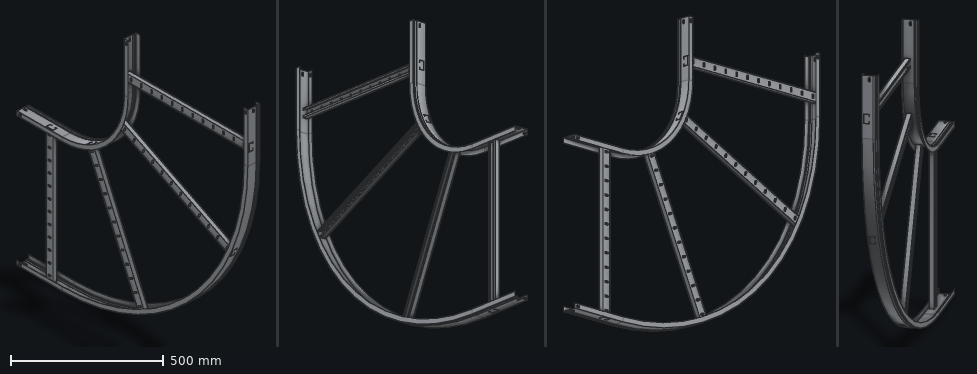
import cadquery as cq

ORIGIN = (0, 0, 0)
Y_AXIS = (0, 1, 0)

overall_size = 1117.0
arm_length = 219.0
bend_x = arm_length
bend_z = overall_size - arm_length
sheet = 1.5

rail_depth = 55.0
inner_web_radius = 299.0
outer_web_radius = bend_z
flange_width = 19.0
fold_radius = 2.0
groove_centre = 10.0
groove_width = 12.0
groove_floor = 2.0
groove_depth = 3.0

rail_slot_length = 13.0
rail_slot_width = 7.0
rail_slot_from_end = 15.0
web_slot_y = 26.0
flange_slot_depth = 10.0

rung_width = 34.0
rung_front = 7.0
rung_depth = 19.0
rung_lip = 8.0
rung_from_end = 151.0
rung_slant = 25.0
rung_inner_radius = inner_web_radius + sheet
rung_outer_radius = outer_web_radius - sheet

rung_slot_count = 12
rung_slot_pitch = 49.6
rung_slot_length = 15.0
rung_slot_width = 7.0


def turn(body, degrees):
    """Turn a body about the bend axis, from pointing down towards pointing right."""
    return body.rotate(ORIGIN, Y_AXIS, -degrees)


def swap_arms(body):
    """Mirror a body so that what belongs to the lower left arms fits the upper right arms."""
    return turn(body.mirror("YZ"), 90)


def place(body):
    """Move a body from the bend axis at the origin to its final position."""
    return body.translate((bend_x, 0, bend_z))


def slot_cutter(plane, length, width):
    """Round-ended slot, centred on the origin with its long side along X, just deep enough for a sheet."""
    return cq.Workplane(plane).slot2D(length, width).extrude(sheet, both=True)


def rail_section(web_radius, outward):
    """Channel outline as (y, z) points below the bend axis.

    outward is the radial direction (+1 or -1) that the back of the web faces.
    """
    groove_y = rail_depth - groove_centre
    groove = [
        (0, groove_y - groove_width / 2),
        (groove_depth, groove_y - groove_floor / 2),
        (groove_depth, groove_y + groove_floor / 2),
        (0, groove_y + groove_width / 2),
    ]

    def face(inset):
        """Points (depth, y) from front tip to rear tip, this far in from the outside of the sheet."""
        front = [(flange_width, inset), (inset, inset)]
        web = [(inset + depth, y) for depth, y in groove]
        rear = [(inset, rail_depth - inset), (flange_width, rail_depth - inset)]
        return front + web + rear

    outline = face(0) + face(sheet)[::-1]
    return [(y, outward * depth - web_radius) for depth, y in outline]


def make_rail(web_radius, outward):
    """Rail with two straight arms and a quarter bend between them."""
    section = rail_section(web_radius, outward)
    arm = cq.Workplane("YZ").polyline(section).close().extrude(-arm_length)
    for y in (0, rail_depth):
        fold = cq.selectors.NearestToPointSelector((-arm_length / 2, y, -web_radius))
        arm = arm.edges(fold).fillet(fold_radius)

    end_outline = arm.faces(">X").val().outerWire()
    bend = cq.Workplane(cq.Solid.revolve(end_outline, [], 90, ORIGIN, (0, -1, 0)))

    slot_x = rail_slot_from_end - arm_length
    web_slot = slot_cutter("XY", rail_slot_length, rail_slot_width)
    arm = arm.cut(web_slot.translate((slot_x, web_slot_y, -web_radius)))
    flange_slot = slot_cutter("XZ", rail_slot_length, rail_slot_width)
    arm = arm.cut(flange_slot.translate((slot_x, 0, outward * flange_slot_depth - web_radius)))

    return place(bend.union(arm, clean=False).union(swap_arms(arm), clean=False))


def make_rung_bar(start_radius):
    """Slotted bar pointing down from start_radius to the inside of the outer web."""
    side = rung_width / 2
    rear = rung_front + rung_depth
    right_half = [
        (side, rung_front),
        (side, rear),
        (side - rung_lip, rear),
        (side - rung_lip, rear - sheet),
        (side - sheet, rear - sheet),
        (side - sheet, rung_front + sheet),
    ]
    left_half = [(-x, y) for x, y in reversed(right_half)]
    bar = (
        cq.Workplane("XY", origin=(0, 0, -start_radius))
        .polyline(right_half + left_half)
        .close()
        .extrude(start_radius - rung_outer_radius)
    )

    middle = (rung_inner_radius + rung_outer_radius) / 2
    first_slot = middle - rung_slot_pitch * (rung_slot_count - 1) / 2
    slot = slot_cutter("XZ", rung_slot_length, rung_slot_width)
    for index in range(rung_slot_count):
        slot_radius = first_slot + index * rung_slot_pitch
        bar = bar.cut(slot.translate((0, rung_front, -slot_radius)))
    return bar


def make_arm_rung():
    """Rung between the two lower left arms, with square ends."""
    rung = make_rung_bar(rung_inner_radius)
    return rung.translate((rung_from_end - arm_length, 0, 0))


def make_bend_rung(degrees):
    """Radial rung between the two bends, with ends curved to fit the webs."""
    between_webs = (
        cq.Workplane("XZ")
        .circle(rung_outer_radius)
        .circle(rung_inner_radius)
        .extrude(-rail_depth)
    )
    bar = make_rung_bar(rung_inner_radius - rung_width)
    return turn(bar.intersect(between_webs), degrees)


inner_rail = make_rail(inner_web_radius, -1)
outer_rail = make_rail(outer_web_radius, 1)

first_arm_rung = make_arm_rung()
rungs = [place(first_arm_rung), place(swap_arms(first_arm_rung))]
for angle in (rung_slant, 90 - rung_slant):
    rungs.append(place(make_bend_rung(angle)))

bodies = [inner_rail, outer_rail] + rungs
result = cq.Compound.makeCompound([body.solids().val() for body in bodies])